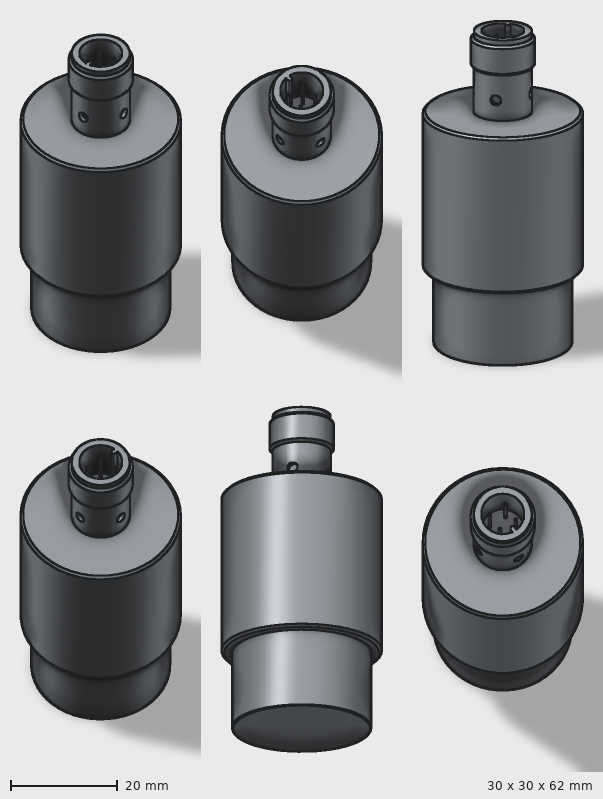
import cadquery as cq

total_height = 62.0
base_height = 15.0
body_top = 46.0

base_diameter = 26.05
base_chamfer = 0.2
body_diameter = 30.0
body_chamfer = 0.5

neck_diameter = 11.0
rim_diameter = 10.85
collar_diameter = 12.0
collar_depth = 1.55
collar_height = 4.9
collar_chamfer = (collar_diameter - neck_diameter) / 2

bore_diameter = 8.0
bore_depth = 8.7
pin_diameter = 0.5
pin_tip_chamfer = 0.1
pin_spacing = 3.55
pin_top_depth = 1.55
key_width = 0.9
key_tip_radius = 3.0

side_hole_diameter = 2.0
side_hole_drop = 11.95
side_hole_depth = 1.0
side_hole_count = 4

bore_floor = total_height - bore_depth


def cylinder(diameter, bottom, top):
    return cq.Workplane("XY").workplane(offset=bottom).circle(diameter / 2).extrude(top - bottom)


def make_housing():
    base = cylinder(base_diameter, 0, base_height).faces("<Z").chamfer(base_chamfer)
    body = cylinder(body_diameter, base_height, body_top).edges().chamfer(body_chamfer)
    return base.union(body)


def make_connector():
    collar_top = total_height - collar_depth + collar_chamfer
    collar_bottom = total_height - collar_depth - collar_height - collar_chamfer
    neck = cylinder(neck_diameter, body_top, collar_top)
    rim = cylinder(rim_diameter, collar_top, total_height)
    neck_radius = neck_diameter / 2
    collar_radius = collar_diameter / 2
    collar = (
        cq.Workplane("XZ")
        .moveTo(0, collar_bottom)
        .lineTo(neck_radius, collar_bottom)
        .lineTo(collar_radius, collar_bottom + collar_chamfer)
        .lineTo(collar_radius, collar_top - collar_chamfer)
        .lineTo(neck_radius, collar_top)
        .lineTo(0, collar_top)
        .close()
        .revolve(360, (0, 0, 0), (0, 1, 0))
    )
    return neck.union(rim).union(collar).cut(cylinder(bore_diameter, bore_floor, total_height))


def make_side_holes():
    hole_floor = neck_diameter / 2 - side_hole_depth
    drill = (
        cq.Workplane("YZ")
        .workplane(offset=hole_floor)
        .center(0, total_height - side_hole_drop)
        .circle(side_hole_diameter / 2)
        .extrude(collar_diameter / 2 - hole_floor)
    )
    holes = cq.Workplane("XY")
    for i in range(side_hole_count):
        holes = holes.union(drill.rotate((0, 0, 0), (0, 0, 1), i * 360 / side_hole_count))
    return holes


def make_pins():
    return (
        cq.Workplane("XY")
        .workplane(offset=bore_floor)
        .rarray(pin_spacing, pin_spacing, 2, 2)
        .circle(pin_diameter / 2)
        .extrude(bore_depth - pin_top_depth)
        .faces(">Z")
        .chamfer(pin_tip_chamfer)
    )


def make_key():
    half_width = key_width / 2
    root_y = -(bore_diameter + neck_diameter) / 4
    nose_start_y = -key_tip_radius - half_width
    return (
        cq.Workplane("XY")
        .workplane(offset=bore_floor)
        .moveTo(-half_width, root_y)
        .lineTo(-half_width, nose_start_y)
        .threePointArc((0, -key_tip_radius), (half_width, nose_start_y))
        .lineTo(half_width, root_y)
        .close()
        .extrude(bore_depth)
    )


result = (
    make_housing()
    .union(make_connector())
    .cut(make_side_holes())
    .union(make_pins())
    .union(make_key())
)